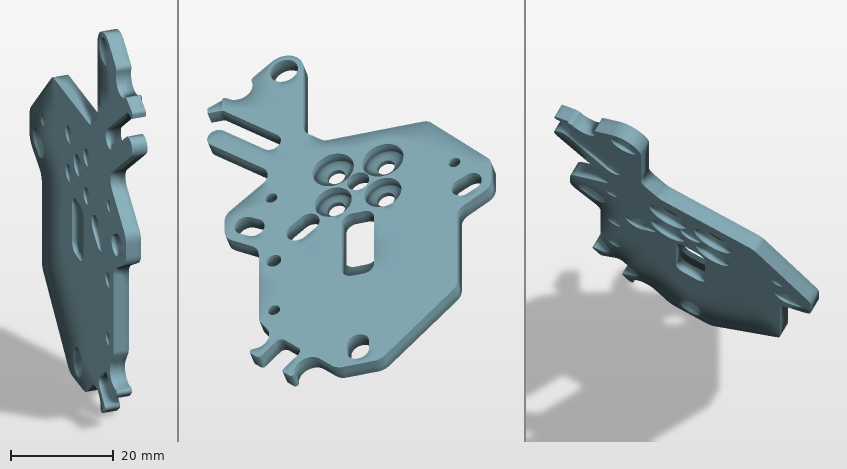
import cadquery as cq
import math

THICKNESS = 3.15
HEIGHT = 85.0

TOP_Z = 12.4
BOTTOM_Z = -48.2
SHOULDER_HALF_WIDTH = 26.95
WAIST_HALF_WIDTH = 20.1
FOOT_HALF_WIDTH = 4.5
SHOULDER_LOW_Z = -8.2
WAIST_TOP_Z = -12.6
LEFT_SHOULDER_Z = -1.3
TOP_LEFT_X = -14.1
BODY_ROUND = 3.0
SMALL_ROUND = 2.0

ARM_ANGLE = 40.0
ARM_SLOPE = math.tan(math.radians(ARM_ANGLE))
ARM_HOLE_X = 15.0
ARM_HOLE_D = 5.6
ARM_END_R = 3.9
ARM_HOLE_Z = BOTTOM_Z + HEIGHT - ARM_END_R
ARM_FOOT_X = 6.9
SLOT_END_X = 17.6
SLOT_END_Z = 14.8
SLOT_WIDTH = 4.0
FINGER_WIDTH = 4.0
FINGER_LENGTH = 10.9
ARM_CROTCH_X = 16.8
ARM_CROTCH_ROUND = 2.55
ARM_NOTCH_X = 24.3
ARM_NOTCH_Z = 30.7
BEAK_PEAK = (26.6, 29.1)
BEAK_TIP = (30.6, 27.2)
BEAK_LOW_Z = 25.9
BEAK_LOW_X = 30.5
BEAK_ROUND = 0.6
ARM_NOTCH_ROUND = 1.0
BEAK_STEP_X = 27.5
BEAK_STEP_Z = 23.8
BEAK_STEP_SIZE = 6.8
BEAK_STEP_DEPTH = 0.3
NOTCH_R = 3.0

FORK_ANGLE = -45.0
FORK_X = 15.4
FORK_Z = -41.4
FORK_GAP = 6.4
FORK_NOTCH_OFFSET = 7.8
FORK_FLOOR = -2.7
PRONG_TIP = 3.4
PRONG_WIDTH = 3.0
FORK_ROOT_ROUND = 1.3
PRONG_ROUND = 0.6
LEAD_IN_ANGLE = 58.0

PIVOT_D = 4.5
BOLT_D = 3.6
BOLT_PITCH_X = 10.0
BOLT_PITCH_Z = 8.5
SMALL_HOLES = [(-19.5, 0.0, 2.4), (17.5, 0.0, 2.4), (17.0, -16.7, 3.0), (17.0, -29.7, 2.5)]
WINDOW_WIDTH = 6.5
WINDOW_HEIGHT = 12.15
WINDOW_Z = -14.3

WEB = 1.0
UPPER_BORE_D = 8.3
LOWER_BORE_D = 7.5
SILL_RECESS_DROP = 4.25

SLOTS = [
    (-21.9, -6.4, 6.4, 4.3, -30.0),
    (21.9, -6.4, 6.4, 4.3, 30.0),
    (11.1, -9.3, 7.4, 4.5, -40.0),
    (0.0, -43.6, 6.3, 4.5, 90.0),
]


def polar(x, z, distance, angle):
    """Point at a distance and direction from (x, z)."""
    a = math.radians(angle)
    return x + distance * math.cos(a), z + distance * math.sin(a)


def plate_of(points):
    return cq.Workplane("XZ").polyline(points).close().extrude(THICKNESS / 2, both=True)


def disc(x, z, diameter):
    return cq.Workplane("XZ").center(x, z).circle(diameter / 2).extrude(THICKNESS / 2, both=True)


def slot(x, z, length, width, angle):
    return cq.Workplane("XZ").center(x, z).slot2D(length, width, angle).extrude(THICKNESS / 2, both=True)


def window(height, z):
    block = cq.Workplane("XY").box(WINDOW_WIDTH, THICKNESS, height)
    return block.edges("|Y").fillet(SMALL_ROUND).translate((0, 0, z))


def round_corners(plate, corners):
    """Fillet the through-thickness edge nearest each (x, z, radius)."""
    for x, z, radius in corners:
        plate = plate.edges("|Y").edges(cq.NearestToPointSelector((x, 0, z))).fillet(radius)
    return plate


def fork_point(u, v):
    """Point u outward along the fork axis and v across it."""
    return polar(*polar(FORK_X, FORK_Z, u, FORK_ANGLE), v, FORK_ANGLE + 90)


slot_low = polar(SLOT_END_X, SLOT_END_Z, SLOT_WIDTH / 2, ARM_ANGLE - 90)
slot_high = polar(SLOT_END_X, SLOT_END_Z, SLOT_WIDTH / 2, ARM_ANGLE + 90)
finger_top = polar(*slot_low, FINGER_LENGTH, ARM_ANGLE)
finger_end = polar(*finger_top, FINGER_WIDTH / 2, ARM_ANGLE - 90)
finger_low = polar(*finger_top, FINGER_WIDTH, ARM_ANGLE - 90)
crotch = (ARM_CROTCH_X, finger_low[1] - (finger_low[0] - ARM_CROTCH_X) * ARM_SLOPE)
shoulder_right = (SHOULDER_HALF_WIDTH, crotch[1] - (SHOULDER_HALF_WIDTH - crotch[0]) * ARM_SLOPE)
arm_left_x = ARM_HOLE_X - ARM_END_R
arm_tangent = polar(ARM_HOLE_X, ARM_HOLE_Z, ARM_END_R, 90 - ARM_ANGLE)
arm_left_foot = (arm_left_x, TOP_Z + (arm_left_x - ARM_FOOT_X) * ARM_SLOPE)
beak_root = (slot_high[0] + (BEAK_LOW_Z - slot_high[1]) / ARM_SLOPE, BEAK_LOW_Z)
beak_back = (ARM_NOTCH_X, arm_tangent[1] - (ARM_NOTCH_X - arm_tangent[0]) * ARM_SLOPE)
arm_notch_corner = polar(ARM_NOTCH_X, ARM_NOTCH_Z, NOTCH_R, 180 - ARM_ANGLE)

upper_notch = fork_point(0, FORK_NOTCH_OFFSET)
lower_notch = fork_point(0, -FORK_NOTCH_OFFSET)
upper_lead = polar(*upper_notch, NOTCH_R, LEAD_IN_ANGLE + 90)
lower_lead = polar(*lower_notch, NOTCH_R, 135)
waist_low_z = upper_lead[1] + (WAIST_HALF_WIDTH - upper_lead[0]) * math.tan(math.radians(LEAD_IN_ANGLE))
foot_right_x = lower_lead[0] - (lower_lead[1] - BOTTOM_Z)
prong_side = FORK_GAP / 2 + PRONG_WIDTH
waist_left_low_z = BOTTOM_Z + WAIST_HALF_WIDTH - FOOT_HALF_WIDTH

outline = [
    (-FOOT_HALF_WIDTH, BOTTOM_Z),
    (-WAIST_HALF_WIDTH, waist_left_low_z),
    (-WAIST_HALF_WIDTH, WAIST_TOP_Z),
    (-SHOULDER_HALF_WIDTH, SHOULDER_LOW_Z),
    (-SHOULDER_HALF_WIDTH, LEFT_SHOULDER_Z),
    (TOP_LEFT_X, TOP_Z),
    (ARM_FOOT_X, TOP_Z),
    arm_left_foot,
    (arm_left_x, ARM_HOLE_Z),
    arm_tangent,
    beak_back,
    BEAK_PEAK,
    BEAK_TIP,
    (BEAK_LOW_X, BEAK_LOW_Z),
    beak_root,
    slot_high,
    slot_low,
    finger_top,
    finger_low,
    crotch,
    shoulder_right,
    (SHOULDER_HALF_WIDTH, SHOULDER_LOW_Z),
    (WAIST_HALF_WIDTH, WAIST_TOP_Z),
    (WAIST_HALF_WIDTH, waist_low_z),
    upper_lead,
    fork_point(0, prong_side),
    fork_point(PRONG_TIP, prong_side),
    fork_point(PRONG_TIP, FORK_GAP / 2),
    fork_point(FORK_FLOOR, FORK_GAP / 2),
    fork_point(FORK_FLOOR, -FORK_GAP / 2),
    fork_point(PRONG_TIP, -FORK_GAP / 2),
    fork_point(PRONG_TIP, -prong_side),
    fork_point(0, -prong_side),
    lower_lead,
    (foot_right_x, BOTTOM_Z),
]
plate = plate_of(outline)

plate = plate.union(disc(ARM_HOLE_X, ARM_HOLE_Z, 2 * ARM_END_R))
plate = plate.union(disc(*finger_end, FINGER_WIDTH))
plate = plate.cut(disc(SLOT_END_X, SLOT_END_Z, SLOT_WIDTH))

for notch_x, notch_z in [(ARM_NOTCH_X, ARM_NOTCH_Z), upper_notch, lower_notch]:
    plate = plate.cut(disc(notch_x, notch_z, 2 * NOTCH_R))

for side in (-1, 1):
    plate = round_corners(plate, [
        (side * SHOULDER_HALF_WIDTH, SHOULDER_LOW_Z, BODY_ROUND),
        (side * WAIST_HALF_WIDTH, WAIST_TOP_Z, BODY_ROUND),
    ])
plate = round_corners(plate, [
    (-FOOT_HALF_WIDTH, BOTTOM_Z, BODY_ROUND),
    (foot_right_x, BOTTOM_Z, BODY_ROUND),
    (-WAIST_HALF_WIDTH, waist_left_low_z, BODY_ROUND),
    (WAIST_HALF_WIDTH, waist_low_z, SMALL_ROUND),
    (-SHOULDER_HALF_WIDTH, LEFT_SHOULDER_Z, BODY_ROUND),
    (*shoulder_right, BODY_ROUND),
    (TOP_LEFT_X, TOP_Z, SMALL_ROUND),
    (ARM_FOOT_X, TOP_Z, SMALL_ROUND),
])

plate = round_corners(plate, [
    (*arm_left_foot, BODY_ROUND),
    (*arm_notch_corner, ARM_NOTCH_ROUND),
    (*BEAK_PEAK, ARM_NOTCH_ROUND),
    (*BEAK_TIP, BEAK_ROUND),
    (*beak_root, BEAK_ROUND),
    (*crotch, ARM_CROTCH_ROUND),
])

for side in (-1, 1):
    plate = round_corners(plate, [
        (*fork_point(FORK_FLOOR, side * FORK_GAP / 2), FORK_ROOT_ROUND),
        (*fork_point(PRONG_TIP, side * FORK_GAP / 2), PRONG_ROUND),
        (*fork_point(PRONG_TIP, side * prong_side), PRONG_ROUND),
    ])

plate = plate.cut(disc(0, 0, PIVOT_D))
plate = plate.cut(disc(ARM_HOLE_X, ARM_HOLE_Z, ARM_HOLE_D))
for hole_x, hole_z, hole_d in SMALL_HOLES:
    plate = plate.cut(disc(hole_x, hole_z, hole_d))

for side_x in (-1, 1):
    for side_z, bore_d in [(-1, LOWER_BORE_D), (1, UPPER_BORE_D)]:
        bolt_x = side_x * BOLT_PITCH_X / 2
        bolt_z = side_z * BOLT_PITCH_Z / 2
        plate = plate.cut(disc(bolt_x, bolt_z, BOLT_D))
        plate = plate.cut(disc(bolt_x, bolt_z, bore_d).translate((0, WEB, 0)))

for slot_x, slot_z, slot_length, slot_width, slot_angle in SLOTS:
    plate = plate.cut(slot(slot_x, slot_z, slot_length, slot_width, slot_angle))

plate = plate.cut(window(WINDOW_HEIGHT, WINDOW_Z))
recess = window(WINDOW_HEIGHT + SILL_RECESS_DROP, WINDOW_Z - SILL_RECESS_DROP / 2)
plate = plate.cut(recess.translate((0, WEB, 0)))

beak_step = cq.Workplane("XY").box(BEAK_STEP_SIZE, THICKNESS, BEAK_STEP_SIZE, centered=(False, True, False))
beak_step = beak_step.translate((BEAK_STEP_X, THICKNESS - BEAK_STEP_DEPTH, BEAK_STEP_Z))

result = plate.cut(beak_step)